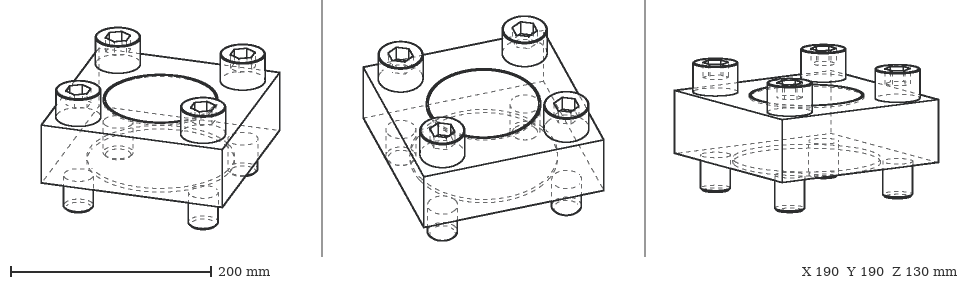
import cadquery as cq
import math

plate_side = 190.0
plate_height = 64.0

plug_diameter = 114.4
plug_chamfer = 1.9
spigot_diameter = 148.0
spigot_projection = 4.0

screw_spacing = 131.0
head_diameter = 45.0
head_height = 30.0
head_chamfer = 1.0
shank_diameter = 30.0
shank_projection = 36.0
shank_chamfer = 2.3
socket_across_flats = 22.0
socket_depth = 15.0


def make_plate():
    return cq.Workplane("XY").box(plate_side, plate_side, plate_height, centered=(True, True, False))


def make_plug():
    """Plug with a chamfered top rim and a wider spigot under the plate."""
    plug = (
        cq.Workplane("XY")
        .circle(plug_diameter / 2)
        .extrude(plate_height)
        .faces(">Z")
        .chamfer(plug_chamfer)
    )
    spigot = cq.Workplane("XY").circle(spigot_diameter / 2).extrude(-spigot_projection)
    return plug.union(spigot)


def make_screw():
    """Screw on the Z axis, with its head resting on the plate."""
    shank = (
        cq.Workplane("XY", origin=(0, 0, -shank_projection))
        .circle(shank_diameter / 2)
        .extrude(shank_projection + plate_height)
        .faces("<Z")
        .chamfer(shank_chamfer)
    )
    head = (
        cq.Workplane("XY", origin=(0, 0, plate_height))
        .circle(head_diameter / 2)
        .extrude(head_height)
        .faces(">Z")
        .chamfer(head_chamfer)
    )
    across_corners = socket_across_flats / math.cos(math.radians(30))
    socket = (
        cq.Workplane("XY", origin=(0, 0, plate_height + head_height))
        .polygon(6, across_corners)
        .extrude(-socket_depth)
        .rotate((0, 0, 0), (0, 0, 1), 90)
    )
    return shank.union(head.cut(socket))


plug_bore = cq.Workplane("XY").circle(plug_diameter / 2).extrude(plate_height)
result = make_plate().cut(plug_bore).union(make_plug())

screw = make_screw()
for x_side in (-1, 1):
    for y_side in (-1, 1):
        screw_position = (x_side * screw_spacing / 2, y_side * screw_spacing / 2, 0)
        result = result.union(screw.translate(screw_position))